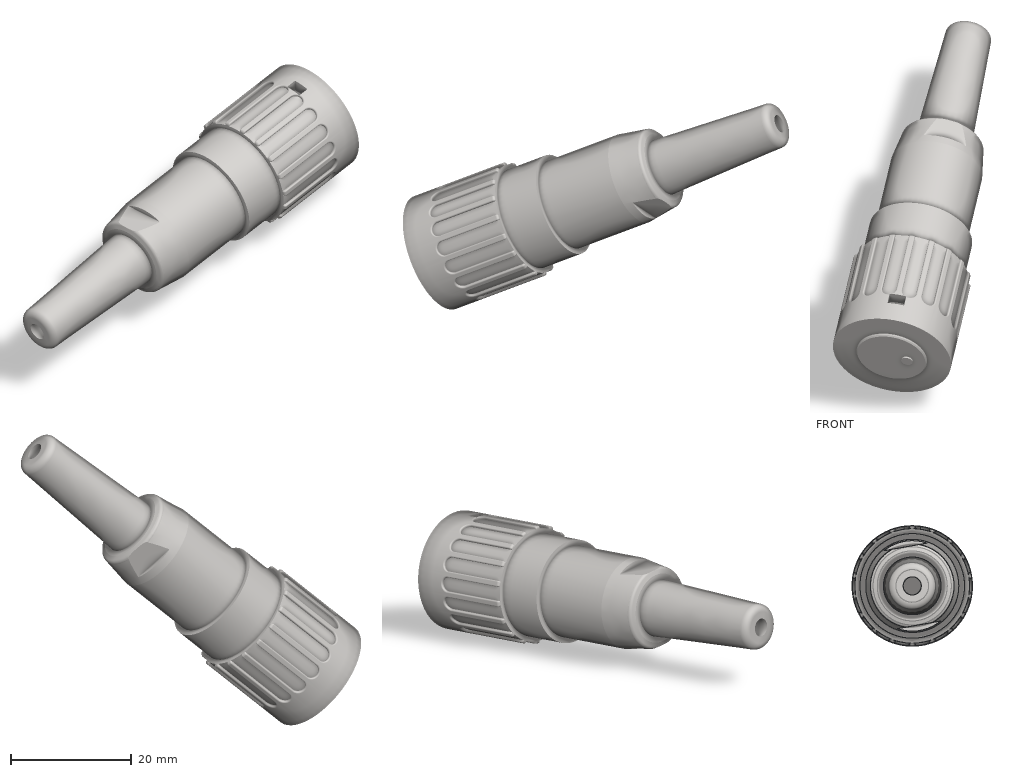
import cadquery as cq
import math


total_length = 68.45
tail_base_y = 22.8
nose_rim_y = 23.0
nose_round_y = 23.6
barrel_front_y = 28.75
sleeve_front_y = 42.4
collar_front_y = 49.8
collar_back_y = 67.7
insert_back_y = 68.2

collar_diameter = 20.0
sleeve_diameter = 17.4
barrel_diameter = 15.5
nose_diameter = 13.9
nose_rim_diameter = 13.0
nose_face_diameter = 11.65
tail_base_diameter = 9.6
tail_tip_diameter = 7.7
cable_hole_diameter = 3.0
insert_diameter = 11.9

tail_tip_fillet = 1.15
collar_front_fillet = 0.4
insert_chamfer = 0.2
nose_round_sagitta = 0.15

cable_hole_depth = 6.85

groove_count = 18
groove_width = 2.4
groove_floor_diameter = 19.0
groove_rim_fillet = 0.2
groove_end_y = 62.4

window_width = 2.8
window_back_y = 64.35
window_front_y = 62.4
window_floor_diameter = barrel_diameter

flat_distance = 6.6
flat_tilt = 10.0
flat_back_y = 27.3

pin_diameter = 1.9
pin_offset = 2.7

clearance = 1.4


def cylinder(diameter, start_y, end_y):
    """Cylinder about the part axis between two stations."""
    plane = cq.Workplane("XZ", origin=(0, start_y, 0))
    return plane.circle(diameter / 2).extrude(start_y - end_y)


def make_tail():
    taper = (
        cq.Workplane("XY")
        .moveTo(0, 0)
        .lineTo(tail_tip_diameter / 2, 0)
        .lineTo(tail_base_diameter / 2, tail_base_y)
        .lineTo(0, tail_base_y)
        .close()
        .revolve(360, (0, 0, 0), (0, 1, 0))
    )
    return taper.faces("<Y").edges().fillet(tail_tip_fillet)


def make_barrel():
    """Nose and barrel, running back into the sleeve."""
    return (
        cq.Workplane("XY")
        .moveTo(0, tail_base_y)
        .lineTo(nose_face_diameter / 2, tail_base_y)
        .lineTo(nose_rim_diameter / 2, nose_rim_y)
        .sagittaArc((nose_diameter / 2, nose_round_y), -nose_round_sagitta)
        .lineTo(barrel_diameter / 2, barrel_front_y)
        .lineTo(barrel_diameter / 2, sleeve_front_y)
        .lineTo(0, sleeve_front_y)
        .close()
        .revolve(360, (0, 0, 0), (0, 1, 0))
    )


def cut_wrench_flats(body):
    """Two opposite flats, parallel to the axis, ending in a step at the back."""
    flat_length = flat_back_y - tail_base_y
    cutter = cq.Workplane("XY").box(
        barrel_diameter, flat_length, barrel_diameter, centered=(True, False, False)
    ).translate((0, tail_base_y, flat_distance))
    for angle in (0, 180):
        body = body.cut(cutter.rotate((0, 0, 0), (0, 1, 0), angle - flat_tilt))
    return body


def make_groove_cutter():
    """One round-ended groove at the top of the collar, with a cylindrical floor."""
    half_width = groove_width / 2
    straight_end_y = groove_end_y - half_width
    start_y = collar_front_y - clearance
    slot = (
        cq.Workplane("XY")
        .moveTo(-half_width, start_y)
        .lineTo(half_width, start_y)
        .lineTo(half_width, straight_end_y)
        .threePointArc((0, groove_end_y), (-half_width, straight_end_y))
        .close()
        .extrude(collar_diameter / 2 + clearance)
    )
    return slot.cut(cylinder(groove_floor_diameter, start_y - clearance, collar_back_y))


def make_window_cutter():
    block = cq.Workplane("XY").box(
        window_width,
        window_back_y - window_front_y,
        collar_diameter / 2 + clearance,
        centered=(True, False, False),
    ).translate((0, window_front_y, 0))
    return block.cut(cylinder(window_floor_diameter, collar_front_y, collar_back_y))


def round_groove_rims(collar):
    """Fillet the groove edges that lie on the outer surface of the collar."""
    grooved_zone = cq.selectors.BoxSelector(
        (-collar_diameter, collar_front_y + collar_front_fillet, -collar_diameter),
        (collar_diameter, groove_end_y + clearance, collar_diameter),
    )
    mid_wall_radius = (groove_floor_diameter + collar_diameter) / 4

    def is_outer(edge):
        center = edge.Center()
        return math.hypot(center.x, center.z) > mid_wall_radius

    rims = collar.edges(grooved_zone).filter(is_outer)
    return rims.fillet(groove_rim_fillet)


def make_collar():
    collar = cylinder(collar_diameter, collar_front_y, collar_back_y)
    collar = collar.faces("<Y").edges().fillet(collar_front_fillet)
    groove = make_groove_cutter()
    pitch = 360.0 / groove_count
    for index in range(groove_count):
        angle = (index + 0.5) * pitch
        collar = collar.cut(groove.rotate((0, 0, 0), (0, 1, 0), angle))
    collar = round_groove_rims(collar)
    return collar.cut(make_window_cutter())


def make_insert():
    """Raised mating face with its key pin."""
    disc = cylinder(insert_diameter, collar_back_y, insert_back_y)
    disc = disc.faces(">Y").edges().chamfer(insert_chamfer)
    pin = cylinder(pin_diameter, collar_back_y, total_length)
    return disc.union(pin.translate((-pin_offset, 0, 0)))


body = make_tail()
body = body.union(cut_wrench_flats(make_barrel()))
body = body.union(cylinder(sleeve_diameter, sleeve_front_y, collar_front_y))
body = body.union(make_collar())
body = body.union(make_insert())
result = body.cut(cylinder(cable_hole_diameter, 0, cable_hole_depth))